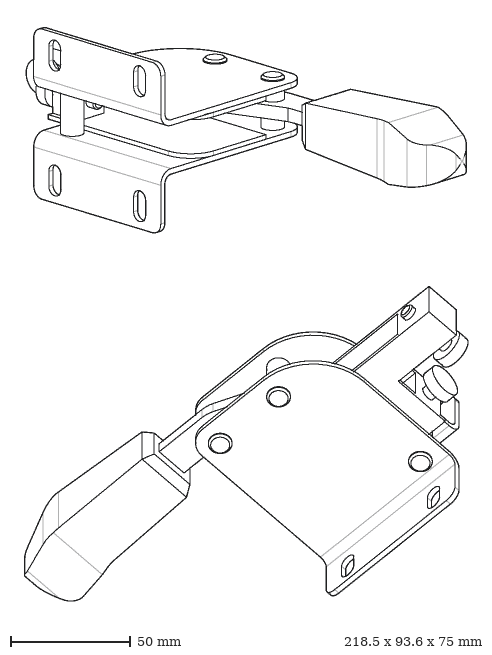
import cadquery as cq
import math


plate_length = 75.0
plate_height = 87.0
plate_gap = 19.0
plate_thickness = 2.5
flange_span = 75.0
bend_outer_radius = 6.0
bend_inner_radius = bend_outer_radius - plate_thickness
plate_nose_radius = 30.0
plate_corner_radius = 9.5
flange_corner_radius = 5.0
slot_width = 7.0
slot_length = 13.5
slot_inset = 12.5
slot_offset_z = 27.5
pin_diameter = 10.0
pin_head_height = 1.5
pin_chamfer = 1.0
pivot_height = 76.8
base_pin = (11.0, 11.9)
stop_pin = (31.0, pivot_height)
pivot_pin = (65.0, pivot_height)
pin_positions = [base_pin, stop_pin, pivot_pin]

arm_wall = 2.0
arm_inner_width = plate_gap - 2 * arm_wall
arm_left = -43.0
arm_top = 62.7
arm_beam_height = 16.5
arm_beam_bottom = arm_top - arm_beam_height
arm_leg_left = -9.3
arm_leg_bottom = 18.0
arm_corner_radius = 13.3
tip_block_length = 18.3
leg_block_length = 15.2
leg_block_bottom = 20.8

screw_length = 30.0
screw_diameter = 6.3
screw_tip_chamfer = 0.7
pad_diameter = 15.2
pad_thickness = 5.3
beam_screw_x = -32.0
beam_screw_pad_y = 35.5
leg_screw_pad_x = -19.3
leg_screw_y = leg_block_bottom + leg_block_length / 2

grip_front = 90.7
grip_chamfer_end = 95.1
grip_crease_x = 146.1
grip_tip_crease_x = 169.7
grip_tip_x = 175.5
grip_front_half_width = 7.8
grip_chamfer_half_width = 10.2
grip_crease_half_width = 13.65
grip_tip_half_width = 8.8
grip_corners = [
    (grip_front, 68.4, 0),
    (grip_chamfer_end, 65.9, 0),
    (140.1, 65.4, 20.0),
    (166.3, 58.6, 7.0),
    (177.95, 81.1, 6.4),
    (148.8, 93.7, 27.0),
    (grip_chamfer_end, 92.8, 0),
    (grip_front, 90.0, 0),
]

lever_thickness = 6.0
lever_top = plate_height
shank_bottom = 72.0
shank_bottom_start = 78.9
lobe_center = (37.3, 66.6)
lobe_radius = 9.3
lever_back_angle = 22.0
lever_shoulder_radius = 15.0


def centered_prism(profile, width):
    """Extrude an XY profile by the given width, half to each side of Z = 0."""
    return profile.extrude(width / 2, both=True)


def round_corner(body, x, y, radius):
    """Round the edge parallel to Z that stands at (x, y)."""
    edge = cq.selectors.NearestToPointSelector((x, y, 0))
    return body.edges("|Z").edges(edge).fillet(radius)


def make_frame_plate():
    """Upper plate: a flat cheek bent outward into a slotted mounting flange."""
    inner_z = plate_gap / 2
    outer_z = inner_z + plate_thickness
    flange_z = flange_span / 2
    section = (
        cq.Workplane("YZ")
        .moveTo(plate_height, inner_z)
        .lineTo(bend_outer_radius, inner_z)
        .radiusArc((0, inner_z + bend_outer_radius), bend_outer_radius)
        .lineTo(0, flange_z)
        .lineTo(plate_thickness, flange_z)
        .lineTo(plate_thickness, outer_z + bend_inner_radius)
        .radiusArc((bend_outer_radius, outer_z), -bend_inner_radius)
        .lineTo(plate_height, outer_z)
        .close()
    )
    plate = section.extrude(plate_length)
    plate = round_corner(plate, 0, plate_height, plate_nose_radius)
    plate = round_corner(plate, plate_length, plate_height, plate_corner_radius)
    plate = plate.faces(">Z").edges("|Y").fillet(flange_corner_radius)
    slots = (
        cq.Workplane("XZ")
        .pushPoints([(slot_inset, slot_offset_z), (plate_length - slot_inset, slot_offset_z)])
        .slot2D(slot_length, slot_width, 90)
        .extrude(-plate_thickness)
    )
    return plate.cut(slots)


def make_pins():
    """Three pins whose chamfered heads stand proud of the plates."""
    length = plate_gap + 2 * (plate_thickness + pin_head_height)
    pins = centered_prism(cq.Workplane("XY").pushPoints(pin_positions).circle(pin_diameter / 2), length)
    return pins.faces("<Z or >Z").chamfer(pin_chamfer)


def make_frame():
    plate = make_frame_plate()
    return plate.union(plate.mirror("XY")).union(make_pins())


def make_screw(pad_point, direction):
    """Pressure screw whose pad face is centred on pad_point and whose shank runs along direction."""
    plane = cq.Plane(origin=pad_point, xDir=(0, 0, 1), normal=direction)
    shank = cq.Workplane(plane).circle(screw_diameter / 2).extrude(screw_length)
    shank = shank.faces(cq.selectors.DirectionMinMaxSelector(cq.Vector(direction))).chamfer(screw_tip_chamfer)
    pad = cq.Workplane(plane).circle(pad_diameter / 2).extrude(pad_thickness)
    return shank.union(pad)


def make_arm(screws):
    """Channel-shaped arm with a tip block and a leg block, bored for the screws."""
    outline = (
        cq.Workplane("XY")
        .moveTo(arm_left, arm_top)
        .lineTo(arm_left, arm_beam_bottom)
        .lineTo(arm_leg_left, arm_beam_bottom)
        .lineTo(arm_leg_left, arm_leg_bottom)
        .lineTo(plate_length - arm_corner_radius, arm_leg_bottom)
        .radiusArc((plate_length, arm_leg_bottom + arm_corner_radius), -arm_corner_radius)
        .lineTo(plate_length, arm_top)
        .close()
    )
    arm = centered_prism(outline, plate_gap)
    channel_length = plate_length - arm_left
    channel = (
        cq.Workplane("XY")
        .box(channel_length, arm_top, arm_inner_width, centered=(False, False, True))
        .translate((arm_left, 0, 0))
    )
    tip_block = (
        cq.Workplane("XY")
        .box(tip_block_length, arm_beam_height, plate_gap, centered=(False, False, True))
        .translate((arm_left, arm_beam_bottom, 0))
    )
    leg_block = (
        cq.Workplane("XY")
        .box(leg_block_length, leg_block_length, plate_gap, centered=(False, False, True))
        .translate((arm_leg_left, leg_block_bottom, 0))
    )
    arm = arm.cut(channel).union(tip_block).union(leg_block)
    for screw in screws:
        arm = arm.cut(screw)
    return arm


def lobe_tangent_point(normal_angle):
    """Point of the lobe whose outward normal has the given angle in degrees from +X."""
    angle = math.radians(normal_angle)
    return (
        lobe_center[0] + lobe_radius * math.cos(angle),
        lobe_center[1] + lobe_radius * math.sin(angle),
    )


def make_lever():
    """Flat lever; its head tapers to the lobe and is bored for the pivot pin and notched for the stop pin."""
    knee_dx = shank_bottom_start - lobe_center[0]
    knee_dy = shank_bottom - lobe_center[1]
    knee_distance = math.hypot(knee_dx, knee_dy)
    knee_direction = math.degrees(math.atan2(knee_dy, knee_dx))
    belly_normal = knee_direction - math.degrees(math.acos(lobe_radius / knee_distance))
    back_normal = 90 + lever_back_angle
    lobe_back = lobe_tangent_point(back_normal)
    shoulder_x = lobe_back[0] + (lever_top - lobe_back[1]) / math.tan(math.radians(lever_back_angle))
    outline = (
        cq.Workplane("XY")
        .moveTo(grip_front, lever_top)
        .lineTo(shoulder_x, lever_top)
        .lineTo(*lobe_back)
        .threePointArc(
            lobe_tangent_point((back_normal + belly_normal + 360) / 2),
            lobe_tangent_point(belly_normal),
        )
        .lineTo(shank_bottom_start, shank_bottom)
        .lineTo(grip_front, shank_bottom)
        .close()
    )
    lever = centered_prism(outline, lever_thickness)
    lever = round_corner(lever, shoulder_x, lever_top, lever_shoulder_radius)
    return lever.cut(make_pins())


def make_grip():
    """Grip: the side outline crossed with a plan outline that swells and then rounds off."""
    side = centered_prism(
        cq.Workplane("XY").polyline([(x, y) for x, y, radius in grip_corners]).close(),
        2 * grip_crease_half_width,
    )
    for x, y, radius in grip_corners:
        if radius:
            side = round_corner(side, x, y, radius)
    plan = (
        cq.Workplane("XZ")
        .moveTo(grip_front, -grip_front_half_width)
        .lineTo(grip_chamfer_end, -grip_chamfer_half_width)
        .lineTo(grip_crease_x, -grip_crease_half_width)
        .lineTo(grip_tip_crease_x, -grip_tip_half_width)
        .threePointArc((grip_tip_x, 0), (grip_tip_crease_x, grip_tip_half_width))
        .lineTo(grip_crease_x, grip_crease_half_width)
        .lineTo(grip_chamfer_end, grip_chamfer_half_width)
        .lineTo(grip_front, grip_front_half_width)
        .close()
        .extrude(-2 * plate_height)
    )
    return side.intersect(plan)


frame = make_frame()
beam_screw = make_screw((beam_screw_x, beam_screw_pad_y, 0), (0, 1, 0))
leg_screw = make_screw((leg_screw_pad_x, leg_screw_y, 0), (1, 0, 0))
screws = [beam_screw, leg_screw]
arm = make_arm(screws)
lever = make_lever()
grip = make_grip()

bodies = [frame, arm, *screws, lever, grip]
result = cq.Compound.makeCompound([body.solids().val() for body in bodies])